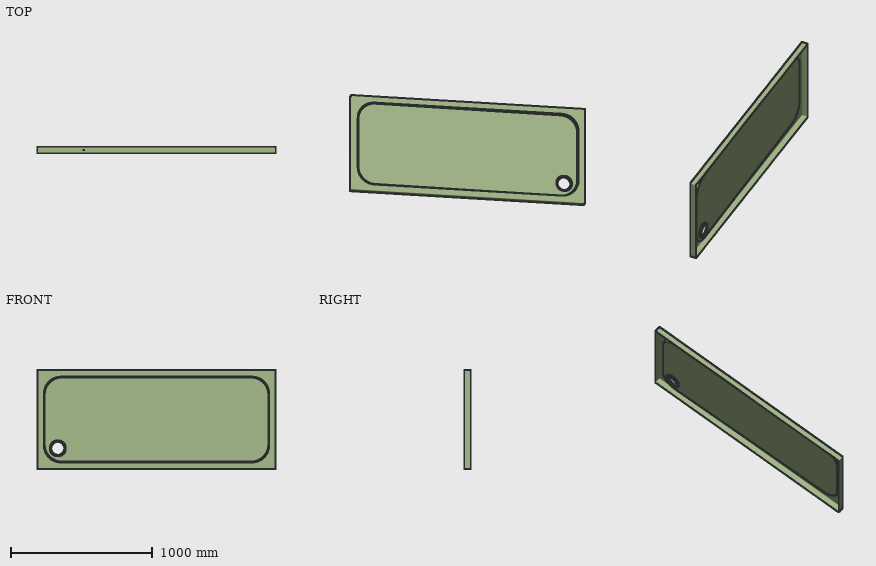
import cadquery as cq
import math

LENGTH = 1685.0
DEPTH = 48.0
HEIGHT = 700.0

WALL = 3.0
EDGE_RADIUS = 4.0

RIM_WIDTH = 46.0
DEEP_END_DEPTH = 25.0
SHALLOW_END_DEPTH = 7.0
BASIN_INSET = 6.0
BASIN_RADIUS = 125.0

DRAIN_X = 146.0
DRAIN_Z = 147.0
SUMP_RADIUS = 58.0
SUMP_INSET = 6.0
SUMP_DEPTH = 12.0
SUMP_OVERLAP = 1.0
DRAIN_RADIUS = 45.0

INNER_EDGE_RADIUS = EDGE_RADIUS - WALL
BASIN_LENGTH = LENGTH - 2 * RIM_WIDTH
BASIN_HEIGHT = HEIGHT - 2 * RIM_WIDTH
MIDDLE_DEPTH = (DEEP_END_DEPTH + SHALLOW_END_DEPTH) / 2
FLOOR_SLOPE = (DEEP_END_DEPTH - SHALLOW_END_DEPTH) / BASIN_LENGTH
FLOOR_TILT = math.degrees(math.atan(FLOOR_SLOPE))
DRAIN_FLOOR_DEPTH = DEEP_END_DEPTH - FLOOR_SLOPE * (DRAIN_X - RIM_WIDTH)
SUMP_TOP_Y = DEPTH - DRAIN_FLOOR_DEPTH + SUMP_OVERLAP


def deck_plane(y):
    """Plane across the tray at depth y, centred on the tray, facing -Y."""
    return cq.Workplane("XZ", origin=(LENGTH / 2, y, HEIGHT / 2))


def drain_plane(y):
    """Plane across the tray at depth y, centred on the drain, facing -Y."""
    return cq.Workplane("XZ", origin=(DRAIN_X, y, DRAIN_Z))


def rounded_sketch(inset):
    """Basin outline moved inward by inset."""
    return (
        cq.Sketch()
        .rect(BASIN_LENGTH - 2 * inset, BASIN_HEIGHT - 2 * inset)
        .vertices()
        .fillet(BASIN_RADIUS - inset)
    )


def make_shell():
    """Flat deck on the +Y side with a thin skirt reaching to -Y."""
    block = deck_plane(DEPTH).rect(LENGTH, HEIGHT).extrude(DEPTH)
    block = block.edges("|Y").fillet(EDGE_RADIUS).faces(">Y").edges().fillet(EDGE_RADIUS)
    hollow = (
        deck_plane(DEPTH - WALL)
        .rect(LENGTH - 2 * WALL, HEIGHT - 2 * WALL)
        .extrude(DEPTH)
        .edges("|Y")
        .fillet(INNER_EDGE_RADIUS)
        .faces(">Y")
        .edges()
        .fillet(INNER_EDGE_RADIUS)
    )
    return block.cut(hollow)


def basin_form(top_y, offset):
    """Basin body starting flat at top_y and ending in the sloping floor, its outline shrunk by offset."""
    floor_place = cq.Location(cq.Vector(0, 0, MIDDLE_DEPTH), cq.Vector(0, 1, 0), FLOOR_TILT)
    return (
        deck_plane(top_y)
        .placeSketch(
            rounded_sketch(offset),
            rounded_sketch(offset + BASIN_INSET).moved(floor_place),
        )
        .loft()
    )


def sump_form(top_y, offset):
    """Tapered drain sump body starting at top_y, its radius shrunk by offset."""
    return (
        drain_plane(top_y)
        .circle(SUMP_RADIUS - offset)
        .workplane(offset=SUMP_DEPTH + SUMP_OVERLAP)
        .circle(SUMP_RADIUS - SUMP_INSET - offset)
        .loft()
    )


tray = make_shell()
tray = tray.union(basin_form(DEPTH - WALL, 0))
tray = tray.union(sump_form(SUMP_TOP_Y - WALL, 0))
tray = tray.cut(basin_form(DEPTH, WALL))
tray = tray.cut(sump_form(SUMP_TOP_Y, WALL))
drain_hole = drain_plane(DEPTH).circle(DRAIN_RADIUS).extrude(DEPTH)
result = tray.cut(drain_hole)